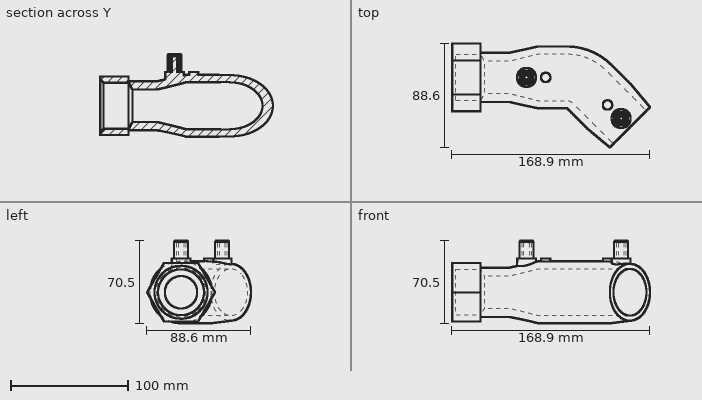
import cadquery as cq
import math

segment = 24.5
nut_end = segment
neck_end = 2 * segment
flare_end = 3 * segment
barrel_end = 4 * segment

nut_sides = 6
nut_across_flats = 50.0
neck_radius = 21.0
body_radius = 26.5
outlet_radius = 24.3

bend_angle = 45
bend_radius = 27.0

nut_bore_radius = 19.5
nut_chamfer = 3.0
nut_chamfer_depth = 3.0
nut_bore_taper = 3.0
throat_radius = 13.8
bore_radius = 19.9

top_z = 44.0
collar_top = 28.8
collar_radius = 8.1
post_radius = 6.0
post_chamfer = 1.0
socket_radius = 4.0
socket_depth = 15.2
contact_radius = 2.4
contact_recess = 1.7
contact_chamfer = 0.5
stud_radius = 4.0
inlet_terminal_x = 63.4
inlet_stud_x = 79.7
outlet_terminal_distance = segment + 13.8
outlet_stud_distance = segment - 2.5

turn = math.radians(bend_angle)
bend_exit_x = barrel_end + bend_radius * math.sin(turn)
bend_exit_y = -bend_radius * (1 - math.cos(turn))


def revolved(profile):
    """Revolve (distance, radius) points about the local X axis, closed along that axis."""
    start = (profile[0][0], 0)
    end = (profile[-1][0], 0)
    outline = cq.Workplane("XY").polyline([start] + profile + [end]).close()
    return outline.revolve(360, (0, 0, 0), (1, 0, 0))


def bend(radius):
    """Solid elbow of the given section radius, turning from +X towards -Y."""
    section = cq.Workplane("YZ", origin=(barrel_end, 0, 0)).circle(radius)
    return section.revolve(bend_angle, (-bend_radius, 1.7, 0), (-bend_radius, 0, 0))


def on_outlet(shape):
    """Move a shape from the local X axis onto the outlet axis at the bend exit."""
    turned = shape.rotate((0, 0, 0), (0, 0, 1), -bend_angle)
    return turned.translate((bend_exit_x, bend_exit_y, 0))


def outlet_point(distance):
    """XY position at a distance along the outlet axis from the bend exit."""
    return (
        bend_exit_x + distance * math.cos(turn),
        bend_exit_y - distance * math.sin(turn),
    )


def upright(point, radius, bottom, top):
    """Vertical cylinder centred on an XY point."""
    return cq.Workplane("XY", origin=(*point, bottom)).circle(radius).extrude(top - bottom)


def terminal(point):
    """Collar and hollow post with a recessed contact pin."""
    collar = upright(point, collar_radius, 0, collar_top)
    post = upright(point, post_radius, 0, top_z).faces(">Z").chamfer(post_chamfer)
    socket_floor = top_z - socket_depth
    socket = upright(point, socket_radius, socket_floor, top_z)
    contact = upright(point, contact_radius, 0, top_z - contact_recess)
    contact = contact.faces(">Z").chamfer(contact_chamfer)
    return collar.union(post).cut(socket).union(contact)


nut = cq.Workplane("YZ").polygon(nut_sides, nut_across_flats, circumscribed=True).extrude(segment)
nut = nut.rotate((0, 0, 0), (1, 0, 0), 180 / nut_sides)
inlet = revolved([
    (nut_end, neck_radius),
    (neck_end, neck_radius),
    (flare_end, body_radius),
    (barrel_end, body_radius),
])
outlet = on_outlet(revolved([
    (0, body_radius),
    (segment, body_radius),
    (2 * segment, outlet_radius),
]))
body = nut.union(inlet).union(bend(body_radius)).union(outlet)

for terminal_point in [(inlet_terminal_x, 0), outlet_point(outlet_terminal_distance)]:
    body = body.union(terminal(terminal_point))
for stud_point in [(inlet_stud_x, 0), outlet_point(outlet_stud_distance)]:
    body = body.union(upright(stud_point, stud_radius, 0, collar_top))

inlet_bore = revolved([
    (0, nut_bore_radius + nut_chamfer),
    (nut_chamfer_depth, nut_bore_radius),
    (nut_end, nut_bore_radius),
    (nut_end + nut_bore_taper, throat_radius),
    (neck_end, throat_radius),
    (flare_end, bore_radius),
    (barrel_end, bore_radius),
])
outlet_bore = on_outlet(revolved([(0, bore_radius), (2 * segment, bore_radius)]))
result = body.cut(inlet_bore).cut(bend(bore_radius)).cut(outlet_bore)